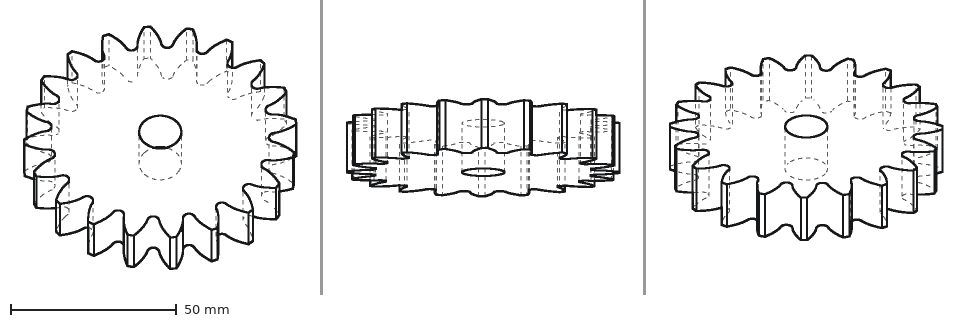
import cadquery as cq
import math

tooth_count = 20
thickness = 15.0
bore_diameter = 12.7
overall_width = 81.5
root_radius = 32.8
pitch_radius = 37.5
flank_start_radius = 34.4
pressure_angle = math.radians(25)
pitch_half_angle = math.radians(4.4)
flank_point_count = 8
tip_refinements = 5

tooth_pitch = 2 * math.pi / tooth_count
base_radius = pitch_radius * math.cos(pressure_angle)


def involute(angle):
    return math.tan(angle) - angle


def tooth_half_angle(radius):
    """Half the angle covered by a tooth at the given radius."""
    local_pressure_angle = math.acos(base_radius / radius)
    return pitch_half_angle + involute(pressure_angle) - involute(local_pressure_angle)


def polar(radius, angle):
    return (radius * math.cos(angle), radius * math.sin(angle))


tip_radius = overall_width / 2
for _ in range(tip_refinements):
    corner_angle = tooth_pitch / 2 - tooth_half_angle(tip_radius)
    tip_radius = overall_width / 2 / math.cos(corner_angle)

flank_step = (tip_radius - flank_start_radius) / (flank_point_count - 1)
flank_radii = [flank_start_radius + i * flank_step for i in range(flank_point_count)]


def add_tooth(outline, center):
    """Add a rising flank, tip arc, falling flank and the following rounded root."""
    rising = [polar(r, center - tooth_half_angle(r)) for r in flank_radii]
    falling = [polar(r, center + tooth_half_angle(r)) for r in reversed(flank_radii)]
    next_center = center + tooth_pitch
    next_start = polar(flank_start_radius, next_center - tooth_half_angle(flank_start_radius))
    outline = outline.spline(rising[1:], includeCurrent=True)
    outline = outline.threePointArc(polar(tip_radius, center), falling[0])
    outline = outline.spline(falling[1:], includeCurrent=True)
    return outline.threePointArc(polar(root_radius, center + tooth_pitch / 2), next_start)


first_center = tooth_pitch / 2
start_angle = first_center - tooth_half_angle(flank_start_radius)
outline = cq.Workplane("XY").moveTo(*polar(flank_start_radius, start_angle))
for tooth in range(tooth_count):
    outline = add_tooth(outline, first_center + tooth * tooth_pitch)
gear = outline.close().extrude(thickness)

bore = cq.Workplane("XY").circle(bore_diameter / 2).extrude(thickness)
result = gear.cut(bore)